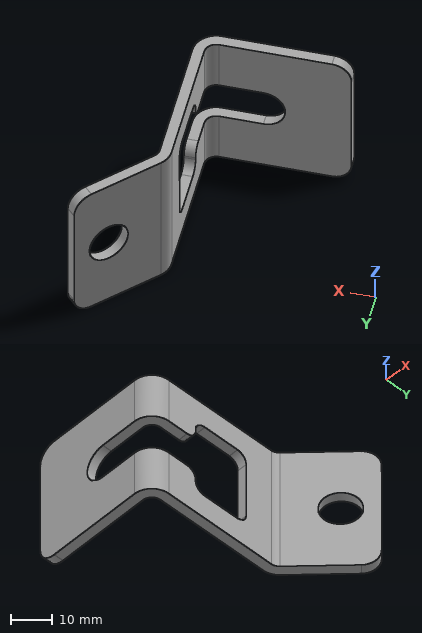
import cadquery as cq
import math

size_x = 57.5
size_y = 62.1
height = 40.0
thickness = 3.0
inner_radius = 3.0
outer_radius = inner_radius + thickness
corner_radius = 5.0

slot_width = 11.0
slot_center_x = 22.1
window_start_y = 15.05
window_end_y = 32.0
window_height = 24.05
window_radius = 3.0

hole_diameter = 11.0
hole_end_distance = 9.95

slant_angle = 45.0
slant_cos = math.cos(math.radians(slant_angle))
slant_sin = math.sin(math.radians(slant_angle))
slant_bend_y = 40.4
slant_length = (size_y - slant_bend_y - outer_radius * slant_sin) / slant_cos
slant_bend_x = size_x + inner_radius * slant_cos - slant_length * slant_sin
web_right = slant_bend_x - inner_radius
web_left = web_right - thickness
front_bend_x = web_right - outer_radius


def on_front_bend(radius):
    """Midpoint of the quarter-circle bend between front flange and web."""
    offset = radius * math.sqrt(0.5)
    return (front_bend_x + offset, outer_radius - offset)


def on_slant_bend(radius, angle):
    """Point on the slant bend, turned by angle from the web's end."""
    turn = math.radians(angle)
    return (slant_bend_x - radius * math.cos(turn), slant_bend_y + radius * math.sin(turn))


def along_slant(radius, distance):
    """Point on the slanted flange, at a distance past its bend."""
    x, y = on_slant_bend(radius, slant_angle)
    return (x + distance * slant_sin, y + distance * slant_cos)


def bent_sheet():
    half_turn = slant_angle / 2
    return (
        cq.Workplane("XY")
        .workplane(offset=-height / 2)
        .moveTo(0, 0)
        .lineTo(front_bend_x, 0)
        .threePointArc(on_front_bend(outer_radius), (web_right, outer_radius))
        .lineTo(web_right, slant_bend_y)
        .threePointArc(on_slant_bend(inner_radius, half_turn), on_slant_bend(inner_radius, slant_angle))
        .lineTo(*along_slant(inner_radius, slant_length))
        .lineTo(*along_slant(outer_radius, slant_length))
        .lineTo(*on_slant_bend(outer_radius, slant_angle))
        .threePointArc(on_slant_bend(outer_radius, half_turn), (web_left, slant_bend_y))
        .lineTo(web_left, outer_radius)
        .threePointArc(on_front_bend(inner_radius), (front_bend_x, thickness))
        .lineTo(0, thickness)
        .close()
        .extrude(height)
    )


def round_corners(sheet):
    slant_normal = cq.Vector(-slant_cos, slant_sin, 0)
    sheet = sheet.faces("<X").edges("|Y").fillet(corner_radius)
    return sheet.edges(cq.selectors.ParallelDirSelector(slant_normal)).fillet(corner_radius)


def flange_slot():
    """Slot with a round closed end, running through the front bend up to the window."""
    slot_length = web_right - slot_center_x
    slot = (
        cq.Workplane("XY")
        .box(slot_length, window_start_y, slot_width, centered=(False, False, True))
        .translate((slot_center_x, 0, 0))
    )
    round_end = (
        cq.Workplane("XZ", origin=(slot_center_x, 0, 0))
        .circle(slot_width / 2)
        .extrude(-thickness)
    )
    return slot.union(round_end)


def web_window():
    return (
        cq.Workplane("XY")
        .box(thickness, window_end_y - window_start_y, window_height, centered=(False, False, True))
        .edges("|X")
        .fillet(window_radius)
        .translate((web_left, window_start_y, 0))
    )


def round_window_neck(sheet):
    """Round the two web corners where the slot enters the window."""
    neck = cq.selectors.BoxSelector(
        (web_left - thickness, window_start_y - thickness / 2, -slot_width),
        (web_right + thickness, window_start_y + thickness / 2, slot_width),
    )
    return sheet.edges("|X").edges(neck).fillet(window_radius)


def slant_hole():
    x, y = along_slant(inner_radius, slant_length - hole_end_distance)
    plane = cq.Plane(origin=(x, y, 0), xDir=(0, 0, 1), normal=(-slant_cos, slant_sin, 0))
    return cq.Workplane(plane).circle(hole_diameter / 2).extrude(thickness)


sheet = round_corners(bent_sheet())
sheet = sheet.cut(flange_slot()).cut(web_window())
result = round_window_neck(sheet).cut(slant_hole())